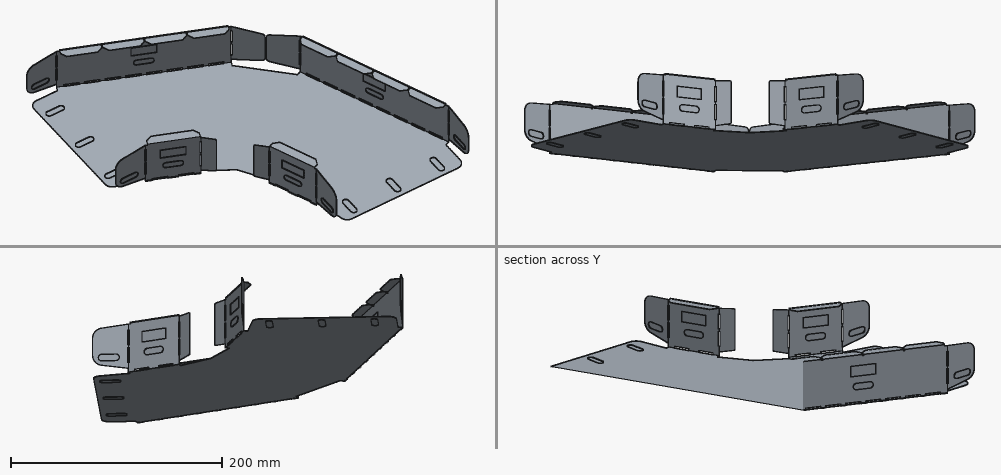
import cadquery as cq
import math


sheet = 0.7
height = 50.0
bend_step = 22.5
tray_width = 151.5
outer_wall_start = 33.4
outer_wall_length = 169.0
inner_wall_length = 53.5

end_flap_length = 34.0
end_flap_radius = 10.0
outer_joint_flap_length = 32.9
outer_joint_flap_radius = 4.0
inner_joint_flap_length = 15.0
inner_joint_flap_radius = 1.5
flap_bottom = 4.2
flap_top = 48.4
flap_taper = 8.0

tab_depth = 10.0
tab_chamfer = 5.0
tab_pitch = 41.0
tab_gap = 1.0
outer_tab_count = 4
inner_tab_width = 51.0
inner_tab_shift = -0.8

floor_slit_length = 15.0
floor_slit_height = 2.2
outer_slit_pitch = 20.0
outer_slit_count = 8
inner_slit_pitch = 25.5
inner_slit_count = 2
fold_slit_width = 1.5
fold_slit_length = 14.8
fold_slit_bridge = 2.8

knockout_offset = 0.3
slot_length = 20.0
slot_width = 6.5
wall_slot_z = 18.0
flap_slot_z = 15.4
flap_slot_from_fold = 18.5
window_length = 25.0
window_height = 10.5
window_z = 33.6

outer_recess = 5.0
inner_recess = 4.2
floor_corner_clearance = 11.5
floor_axis_y = -140.2
floor_corner_radius = 8.0
floor_slot_spacing = 50.0
floor_slot_from_fold = 18.7

wall_angle = -bend_step
end_angle = -2 * bend_step
fold_overlap = sheet * math.tan(math.radians(bend_step / 2))


def step(point, angle, along, across=0.0):
    """Point reached by going along a direction and then across to its left."""
    a = math.radians(angle)
    return (
        point[0] + along * math.cos(a) - across * math.sin(a),
        point[1] + along * math.sin(a) + across * math.cos(a),
    )


outer_start = (outer_wall_start, 0.0)
outer_end = step(outer_start, wall_angle, outer_wall_length)
inner_end = step(outer_end, end_angle, 0, -tray_width)
inner_start = step(inner_end, wall_angle, -inner_wall_length)


class Panel:
    """Upright sheet with local x along it, y up, and its outer face through the origin."""

    def __init__(self, origin, angle, is_outer):
        self.origin = origin
        self.angle = angle
        self.is_outer = is_outer
        self.to_tray = 1 if is_outer else -1
        self.along = cq.Vector(*step((0, 0), angle, 1), 0)
        self.right = cq.Vector(*step((0, 0), angle, 0, -1), 0)

    def sketch(self, depth=0.0):
        """Workplane at a depth from the outer face towards the tray."""
        x, y = step(self.origin, self.angle, 0, -self.to_tray * depth)
        return cq.Workplane(cq.Plane((x, y, 0), self.along, self.right))

    def block(self, x0, x1, z0, z1, thickness=sheet):
        outline = self.sketch().center((x0 + x1) / 2, (z0 + z1) / 2).rect(x1 - x0, z1 - z0)
        return outline.extrude(self.to_tray * thickness)

    def shift_patch(self, body, outline, outwards):
        """Press the patch inside an outline slightly through the sheet."""
        raised_depth = -knockout_offset if outwards else sheet
        sunk_depth = sheet - knockout_offset if outwards else 0.0
        thickness = self.to_tray * knockout_offset
        raised = outline(self.sketch(raised_depth)).extrude(thickness)
        sunk = outline(self.sketch(sunk_depth)).extrude(thickness)
        return body.union(raised).cut(sunk)

    def slot_knockout(self, body, x, z):
        return self.shift_patch(body, lambda w: w.center(x, z).slot2D(slot_length, slot_width), True)

    def window_knockout(self, body, x, z):
        return self.shift_patch(body, lambda w: w.center(x, z).rect(window_length, window_height), False)


def flap(panel, length, radius, upper_taper=flap_taper):
    """Tapered flap from the panel origin; a negative length points to the mirror plane."""
    rise = abs(length) * math.tan(math.radians(flap_taper))
    drop = abs(length) * math.tan(math.radians(upper_taper))
    outline = [
        (0, flap_bottom),
        (length, flap_bottom + rise),
        (length, flap_top - drop),
        (0, flap_top),
    ]
    body = panel.sketch().polyline(outline).close().extrude(panel.to_tray * sheet)
    through_edges = body.edges(cq.selectors.ParallelDirSelector(panel.right))
    tip_edges = through_edges.edges(cq.selectors.DirectionMinMaxSelector(panel.along, length > 0))
    body = tip_edges.fillet(radius)
    if panel.is_outer:
        return body
    root = -math.copysign(fold_overlap, length)
    return body.union(panel.block(min(root, 0), max(root, 0), flap_bottom, flap_top))


def end_flap(panel):
    body = flap(panel, end_flap_length, end_flap_radius)
    return panel.slot_knockout(body, flap_slot_from_fold, flap_slot_z)


def tab(panel, middle, width):
    x0 = middle - width / 2
    x1 = middle + width / 2
    upright = panel.block(x0, x1, flap_top, height)
    lip = panel.block(x0, x1, height - sheet, height, tab_depth)
    tip_face = cq.selectors.DirectionMinMaxSelector(panel.right, panel.is_outer)
    lip = lip.faces(tip_face).edges("|Z").chamfer(tab_chamfer)
    return upright.union(lip)


def wall(panel, length):
    """Plain wall with its slot and window."""
    extra = 0.0 if panel.is_outer else fold_overlap
    body = panel.block(-extra, length + extra, 0, flap_top)
    body = panel.slot_knockout(body, length / 2, wall_slot_z)
    return panel.window_knockout(body, length / 2, window_z)


def cut_floor_slits(body, panel, middle, count, pitch):
    """Row of slits along the bend between the floor and a wall."""
    for i in range(count):
        x = middle + (i - (count - 1) / 2) * pitch
        half = floor_slit_length / 2
        body = body.cut(panel.block(x - half, x + half, 0, floor_slit_height))
    return body


def cut_fold_slits(body, panel, x):
    """Two slits, one above the other, through the fold at local x."""
    middle_z = (flap_bottom + flap_top) / 2
    half_width = fold_slit_width / 2
    for z0 in (middle_z + fold_slit_bridge / 2, middle_z - fold_slit_bridge / 2 - fold_slit_length):
        z1 = z0 + fold_slit_length
        for thickness in (-sheet, 2 * sheet):
            body = body.cut(panel.block(x - half_width, x + half_width, z0, z1, thickness))
    return body


def outer_side():
    panel = outer_wall_panel
    middle = outer_wall_length / 2
    body = wall(panel, outer_wall_length)
    for i in range(outer_tab_count):
        tab_middle = middle + (i - (outer_tab_count - 1) / 2) * tab_pitch
        body = body.union(tab(panel, tab_middle, tab_pitch - tab_gap))
    body = body.union(end_flap(Panel(outer_end, end_angle, True)))
    joint_panel = Panel(outer_start, 0, True)
    body = body.union(flap(joint_panel, -outer_joint_flap_length, outer_joint_flap_radius))
    body = cut_fold_slits(body, panel, 0)
    return cut_fold_slits(body, panel, outer_wall_length)


def inner_side():
    panel = inner_wall_panel
    body = wall(panel, inner_wall_length)
    tab_middle = inner_wall_length / 2 + inner_tab_shift
    body = body.union(tab(panel, tab_middle, inner_tab_width))
    body = body.union(end_flap(Panel(inner_end, end_angle, False)))
    joint_panel = Panel(inner_start, 0, False)
    body = body.union(flap(joint_panel, -inner_joint_flap_length, inner_joint_flap_radius, 0))
    body = cut_fold_slits(body, panel, 0)
    return cut_fold_slits(body, panel, inner_wall_length)


def floor_half():
    outer_start_recess = step(outer_start, wall_angle, 0, -outer_recess)
    outer_end_recess = step(outer_end, wall_angle, 0, -outer_recess)
    inner_start_recess = step(inner_start, wall_angle, 0, inner_recess)
    inner_end_recess = step(inner_end, wall_angle, 0, inner_recess)
    flap_clearance = outer_recess * math.cos(math.radians(bend_step))
    outer_corner = step(outer_end, end_angle, end_flap_length, -flap_clearance)
    inner_corner = step(inner_end, end_angle, end_flap_length, floor_corner_clearance)
    outline = [
        (0, floor_axis_y),
        inner_start_recess,
        inner_start,
        inner_end,
        inner_end_recess,
        inner_corner,
        outer_corner,
        outer_end_recess,
        outer_end,
        outer_start,
        outer_start_recess,
        (0, outer_start_recess[1]),
    ]
    plate = cq.Workplane("XY").polyline(outline).close().extrude(sheet)
    for corner in (inner_corner, outer_corner):
        corner_edge = cq.selectors.NearestToPointSelector((*corner, sheet / 2))
        plate = plate.edges(corner_edge).fillet(floor_corner_radius)
    return floor_slots(plate)


def floor_slots(plate):
    """Three slot knockouts along the tray end, pressed downwards."""
    for i in (-1, 0, 1):
        across = -tray_width / 2 + i * floor_slot_spacing
        middle = step(outer_end, end_angle, floor_slot_from_fold, across)
        slot = cq.Workplane("XY").center(*middle).slot2D(slot_length, slot_width, end_angle)
        patch = slot.extrude(knockout_offset)
        plate = plate.union(patch.translate((0, 0, -knockout_offset)))
        plate = plate.cut(patch.translate((0, 0, sheet - knockout_offset)))
    return plate


def bend_half():
    body = floor_half().union(outer_side()).union(inner_side())
    body = cut_floor_slits(body, outer_wall_panel, outer_wall_length / 2, outer_slit_count, outer_slit_pitch)
    return cut_floor_slits(body, inner_wall_panel, inner_wall_length / 2, inner_slit_count, inner_slit_pitch)


outer_wall_panel = Panel(outer_start, wall_angle, True)
inner_wall_panel = Panel(inner_start, wall_angle, False)
half_bend = bend_half()
whole_bend = half_bend.union(half_bend.mirror("YZ"))
result = whole_bend.rotate((0, 0, 0), (0, 0, 1), bend_step)